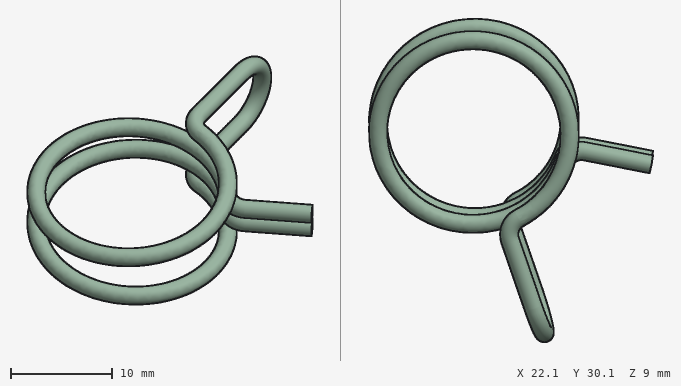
import cadquery as cq
import math


wire_diameter = 1.8
coil_inner_diameter = 17.0
overall_height = 9.0
tail_gap = 0.1
bend_inner_radius = 1.0
tail_length = 6.6
loop_reach = 21.8
loop_angle = 120.0
tail_angle = 60.0

wire_radius = wire_diameter / 2
coil_radius = coil_inner_diameter / 2 + wire_radius
bend_radius = bend_inner_radius + wire_radius
loop_z = overall_height / 2 - wire_radius
tail_z = tail_gap / 2 + wire_radius
loop_bend_start = loop_reach - loop_z

bend_end = math.sqrt((coil_radius + bend_radius) ** 2 - bend_radius ** 2)
bend_offset_angle = math.degrees(math.atan2(bend_radius, bend_end))
tail_end = bend_end + tail_length

coil_start_angle = tail_angle + bend_offset_angle
coil_end_angle = loop_angle - bend_offset_angle + 360
coil_sweep_angle = coil_end_angle - coil_start_angle
coil_rise = loop_z - tail_z
coil_pitch = coil_rise * 360 / coil_sweep_angle


def polar(radius, angle, z):
    """Point at a distance and angle around the coil axis."""
    angle = math.radians(angle)
    return cq.Vector(radius * math.cos(angle), radius * math.sin(angle), z)


def sweep_wire(path, start, direction):
    """Round wire along a path that leaves the start point in the given direction."""
    section = cq.Workplane(cq.Plane(origin=start, normal=direction)).circle(wire_radius)
    return section.sweep(path, isFrenet=True)


def coil():
    """Helical coil whose end faces stand upright to meet the flat bends."""
    helix = cq.Wire.makeHelix(coil_pitch, coil_rise, coil_radius)
    helix = helix.rotate(cq.Vector(0, 0, 0), cq.Vector(0, 0, 1), coil_start_angle)
    path = cq.Workplane(obj=helix.translate(cq.Vector(0, 0, tail_z)))
    start = polar(coil_radius, coil_start_angle, tail_z)
    return sweep_wire(path, start, polar(1, coil_start_angle + 90, 0))


def radial_leg(angle, side, outer_end, z):
    """Straight radial leg with its bend into the coil, on the side (+1 or -1) of increasing angle."""
    coil_angle = angle + side * bend_offset_angle
    bend_centre = polar(coil_radius + bend_radius, coil_angle, z)
    leg_start = polar(bend_end, angle, z)
    coil_point = polar(coil_radius, coil_angle, z)
    to_corner = (leg_start + coil_point) / 2 - bend_centre
    bend_middle = bend_centre + to_corner.normalized() * bend_radius
    leg_end = polar(outer_end, angle, z)
    path = cq.Workplane(cq.Plane(origin=(0, 0, z)))
    path = path.add(cq.Wire.assembleEdges([
        cq.Edge.makeLine(leg_end, leg_start),
        cq.Edge.makeThreePointArc(leg_start, bend_middle, coil_point),
    ]))
    return sweep_wire(path, leg_end, polar(-1, angle, 0))


def loop_end():
    """Semicircular end of the grip loop, joining the upper and lower legs."""
    top = polar(loop_bend_start, loop_angle, loop_z)
    tip = polar(loop_reach, loop_angle, 0)
    bottom = polar(loop_bend_start, loop_angle, -loop_z)
    arc = cq.Wire.assembleEdges([cq.Edge.makeThreePointArc(top, tip, bottom)])
    return sweep_wire(cq.Workplane(obj=arc), top, polar(1, loop_angle, 0))


def upper_half():
    """Upper coil with its free tail and its leg of the grip loop."""
    tail = radial_leg(tail_angle, 1, tail_end, tail_z)
    loop_leg = radial_leg(loop_angle, -1, loop_bend_start, loop_z)
    return coil().union(tail).union(loop_leg)


upper = upper_half()
lower = upper.mirror("XY")
result = upper.union(loop_end()).union(lower)